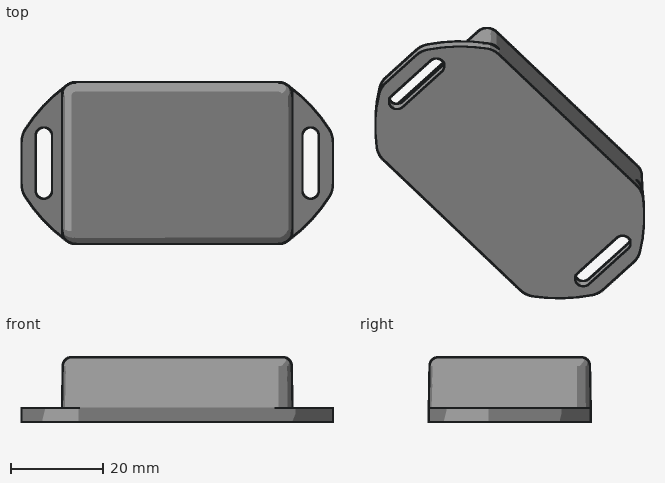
import cadquery as cq

overall_length = 67.5
width = 35.15
overall_height = 14.12

flange_thickness = 3.1
shoulder_x = 22.9
end_half_width = 6.0
shoulder_radius = 35.0
flange_corner_radius = 5.0

slot_width = 3.5
slot_length = 15.4
slot_inset = 4.85

box_length = 50.0
box_corner_radius = 3.0
box_draft = 1.0
box_top_radius = 2.0


def make_flange():
    """Flat plate with a bowed shoulder at each corner."""
    end_x = overall_length / 2
    side_y = width / 2
    outline = (
        cq.Workplane("XY")
        .moveTo(-shoulder_x, side_y)
        .lineTo(shoulder_x, side_y)
        .radiusArc((end_x, end_half_width), shoulder_radius)
        .lineTo(end_x, -end_half_width)
        .radiusArc((shoulder_x, -side_y), shoulder_radius)
        .lineTo(-shoulder_x, -side_y)
        .radiusArc((-end_x, -end_half_width), shoulder_radius)
        .lineTo(-end_x, end_half_width)
        .radiusArc((-shoulder_x, side_y), shoulder_radius)
        .close()
    )
    plate = outline.extrude(flange_thickness)
    return plate.edges("|Z").fillet(flange_corner_radius)


def make_box():
    """Drafted enclosure with rounded corners and a rounded top rim."""
    base = cq.Sketch().rect(box_length, width).vertices().fillet(box_corner_radius)
    body = (
        cq.Workplane("XY", origin=(0, 0, flange_thickness))
        .placeSketch(base)
        .extrude(overall_height - flange_thickness, taper=box_draft)
    )
    return body.faces(">Z").edges().fillet(box_top_radius)


def make_slots():
    """Round-ended strap slots through both ends of the flange."""
    slot_x = overall_length / 2 - slot_inset
    return (
        cq.Workplane("XY")
        .pushPoints([(-slot_x, 0), (slot_x, 0)])
        .slot2D(slot_length, slot_width, 90)
        .extrude(flange_thickness)
    )


result = make_flange().cut(make_slots()).union(make_box())